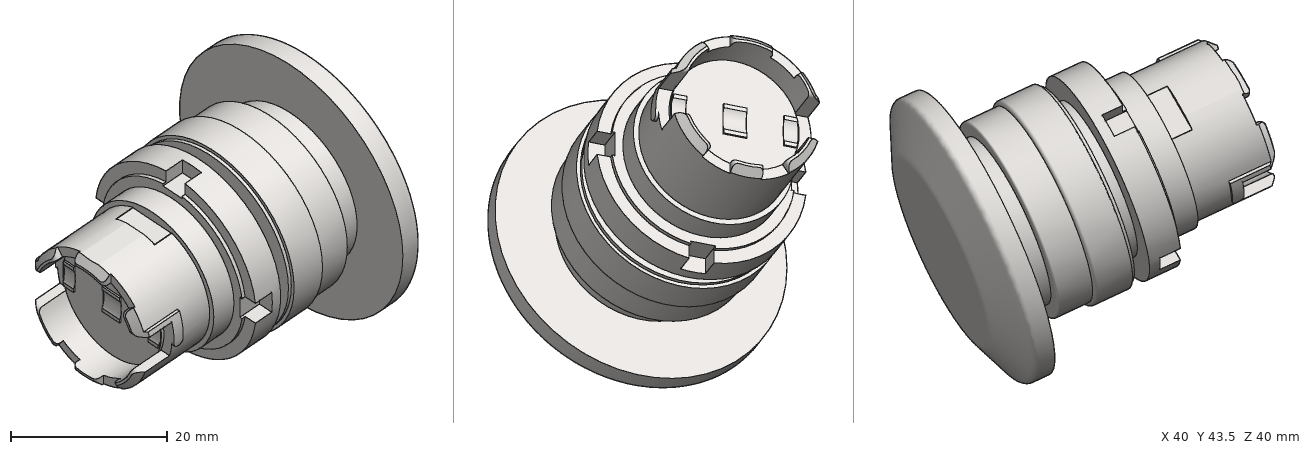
import cadquery as cq
import math


TIP_Y = 0.0
CROWN_GAP_Y = 1.3
PLUG_FACE_Y = 5.0
WINDOW_END_Y = 5.5
RIB_END_Y = 7.15
FLAT_STEP_Y = 9.2
SLEEVE_END_Y = 12.3
NUT_RING_Y = 15.95
NUT_FACE_Y = 16.52
NOTCH_END_Y = 19.5
NUT_BACK_Y = 21.0
LIP_Y = 22.9
BEZEL_FACE_Y = 23.45
BEZEL_BACK_Y = 28.85
COLLAR_BACK_Y = 33.83
CAP_FACE_Y = 37.5
CAP_RIM_Y = 40.5
CAP_TOP_Y = 43.5

CAP_R = 40.0 / 2
CAP_TOP_R = 13.55
NECK_R = 23.6 / 2
COLLAR_R = 27.6 / 2
BEZEL_R = 28.8 / 2
LIP_R = 27.8 / 2
BODY_R = 22.0 / 2
NUT_R = BEZEL_R
NUT_RING_R = 12.55
SLEEVE_R = 10.25
BORE_R = 8.83
RIB_R = 10.65

CAP_FILLET = 1.0
CROWN_FILLET = 2.6
COLLAR_FILLET = 0.25
BEZEL_FILLET = 0.5
TIP_CHAMFER = 1.05
TOOTH_ROUND = 0.75
RIB_ROUND = 0.8

NOTCH_WIDTH = 3.4
NOTCH_FLOOR_R = 12.1
NOTCH_COUNT = 4
WINDOW_HALF = 3.0
RIB_TOP_Z = 3.75
RIB_BOTTOM_Z = -1.3
TOOTH_HALF = 2.15
KEY_TOOTH_RIGHT = 3.45
RIGHT_TOOTH_ANGLE = 41.0
LEFT_TOOTH_ANGLE = 126.5
LOWER_TOOTH_ANGLE = 54.8
WIDE_FLAT_Z = 9.55
WIDE_FLAT_WIDTH = 6.9
KEY_FLAT_WIDTH = 3.1
CONTACT_LENGTH = 3.17
CONTACT_WIDTH = 4.3
CONTACT_HEIGHT = 0.25
CONTACT_DISH_WIDTH = 3.15
CONTACT_DISH_DEPTH = 0.45
CONTACT_SPACING = 8.25
CONTACT_LIMIT_R = 8.7


def revolve(points):
    """Solid of revolution about Y from (radius, y) points."""
    return cq.Workplane("XY").polyline(points).close().revolve(360, (0, 0), (0, 1))


def disc(radius, y_start, y_end):
    """Cylinder on the Y axis."""
    return cq.Workplane("XZ", origin=(0, y_end, 0)).circle(radius).extrude(y_end - y_start)


def block(x_range, y_range, z_range):
    """Axis-aligned box between two limits on each axis."""
    lows, highs = zip(x_range, y_range, z_range)
    sizes = [high - low for low, high in zip(lows, highs)]
    return cq.Workplane("XY").box(*sizes, centered=False).translate(lows)


def make_head():
    """Conical mushroom cap and its neck."""
    cap = revolve([
        (0, CAP_FACE_Y),
        (CAP_R, CAP_FACE_Y),
        (CAP_R, CAP_RIM_Y),
        (CAP_TOP_R, CAP_TOP_Y),
        (0, CAP_TOP_Y),
    ])
    cap = cap.faces("%CONE").edges("<Y").fillet(CAP_FILLET)
    cap = cap.faces(">Y").edges().fillet(CROWN_FILLET)
    return cap.union(disc(NECK_R, COLLAR_BACK_Y, CAP_FACE_Y))


def make_body():
    """Collar, bezel with its lip, and the threaded body."""
    collar = disc(COLLAR_R, BEZEL_BACK_Y, COLLAR_BACK_Y).faces(">Y").edges().fillet(COLLAR_FILLET)
    bezel = disc(BEZEL_R, BEZEL_FACE_Y, BEZEL_BACK_Y).faces(">Y").edges().fillet(BEZEL_FILLET)
    lip = disc(LIP_R, LIP_Y, BEZEL_FACE_Y)
    body = disc(BODY_R, SLEEVE_END_Y, LIP_Y)
    return body.union(lip).union(bezel).union(collar)


def make_nut():
    """Fixing nut with a raised inner ring and four spanner notches."""
    nut = disc(NUT_R, NUT_FACE_Y, NUT_BACK_Y).union(disc(NUT_RING_R, NUT_RING_Y, NUT_FACE_Y))
    half = NOTCH_WIDTH / 2
    notch = block((-half, half), (NUT_RING_Y, NOTCH_END_Y), (NOTCH_FLOOR_R, NUT_R + 0.45))
    for index in range(NOTCH_COUNT):
        nut = nut.cut(notch.rotate((0, 0, 0), (0, 1, 0), index * 360 / NOTCH_COUNT))
    return nut


def ray_point(angle):
    """Point beyond the sleeve at an angle from +X toward +Z."""
    reach = 2 * SLEEVE_R
    return (reach * math.cos(math.radians(angle)), reach * math.sin(math.radians(angle)))


def crown_gap(tooth_x, angle):
    """Gap between a tooth side at x = tooth_x and a radial tooth end."""
    end = ray_point(angle)
    outline = [(0, 0), end, (tooth_x, end[1]), (tooth_x, 0)]
    return cq.Workplane("XZ", origin=(0, CROWN_GAP_Y, 0)).polyline(outline).close().extrude(CROWN_GAP_Y)


def toothed_tube(radius):
    """Hollow tube with side windows and a crown of round-cornered teeth."""
    tube = disc(radius, TIP_Y, SLEEVE_END_Y).cut(disc(BORE_R, TIP_Y, WINDOW_END_Y))
    tube = tube.cut(block((-radius, radius), (TIP_Y, WINDOW_END_Y), (-WINDOW_HALF, WINDOW_HALF)))
    for tooth_x, angle in (
        (KEY_TOOTH_RIGHT, RIGHT_TOOTH_ANGLE),
        (-TOOTH_HALF, LEFT_TOOTH_ANGLE),
        (-TOOTH_HALF, 180 + LOWER_TOOTH_ANGLE),
        (TOOTH_HALF, -LOWER_TOOTH_ANGLE),
    ):
        tube = tube.cut(crown_gap(tooth_x, angle))
    return tube.faces("<Y").edges("%LINE").fillet(TOOTH_ROUND)


def make_ribs():
    """Bayonet ribs on both sides: each is an L that follows the window's edge and ends rounded."""
    span = (-RIB_R, RIB_R)
    leg = block(span, (WINDOW_END_Y, RIB_END_Y), (RIB_BOTTOM_Z, RIB_TOP_Z))
    leg = leg.faces("<Z").edges("|X").fillet(RIB_ROUND)
    footprint = leg.union(block(span, (TIP_Y, RIB_END_Y), (WINDOW_HALF, RIB_TOP_Z)))
    return toothed_tube(RIB_R).intersect(footprint)


def make_sleeve():
    """Toothed base with bayonet ribs, a bevelled end and locating flats."""
    sleeve = toothed_tube(SLEEVE_R).union(make_ribs())

    bevel_r = SLEEVE_R - TIP_CHAMFER
    envelope = revolve([
        (0, TIP_Y),
        (bevel_r, TIP_Y),
        (bevel_r + SLEEVE_END_Y, SLEEVE_END_Y),
        (0, SLEEVE_END_Y),
    ])
    sleeve = sleeve.intersect(envelope)

    half = WIDE_FLAT_WIDTH / 2
    sleeve = sleeve.cut(block((-half, half), (FLAT_STEP_Y, SLEEVE_END_Y), (WIDE_FLAT_Z, CAP_R)))
    half = KEY_FLAT_WIDTH / 2
    key_z = math.sqrt(SLEEVE_R**2 - half**2)
    return sleeve.cut(block((-half, half), (TIP_Y, FLAT_STEP_Y), (key_z, CAP_R)))


def make_plug():
    """Insert that closes the bore and carries a row of contacts, each dished along X."""
    plug = disc(BORE_R, PLUG_FACE_Y, WINDOW_END_Y)
    limit = disc(CONTACT_LIMIT_R, TIP_Y, WINDOW_END_Y)
    top_y = PLUG_FACE_Y - CONTACT_HEIGHT
    half_length = CONTACT_LENGTH / 2
    half_width = CONTACT_WIDTH / 2
    half_dish = CONTACT_DISH_WIDTH / 2
    bar = block((-half_length, half_length), (top_y, WINDOW_END_Y), (-half_width, half_width))
    dish = (
        cq.Workplane("YZ", origin=(-half_length, 0, 0))
        .moveTo(top_y, -half_dish)
        .threePointArc((top_y + CONTACT_DISH_DEPTH, 0), (top_y, half_dish))
        .close()
        .extrude(CONTACT_LENGTH)
    )
    for x in (-CONTACT_SPACING, 0, CONTACT_SPACING):
        plug = plug.union(bar.translate((x, 0, 0)).intersect(limit))
        plug = plug.cut(dish.translate((x, 0, 0)).intersect(limit))
    return plug


result = make_head().union(make_body()).union(make_nut()).union(make_sleeve()).union(make_plug())